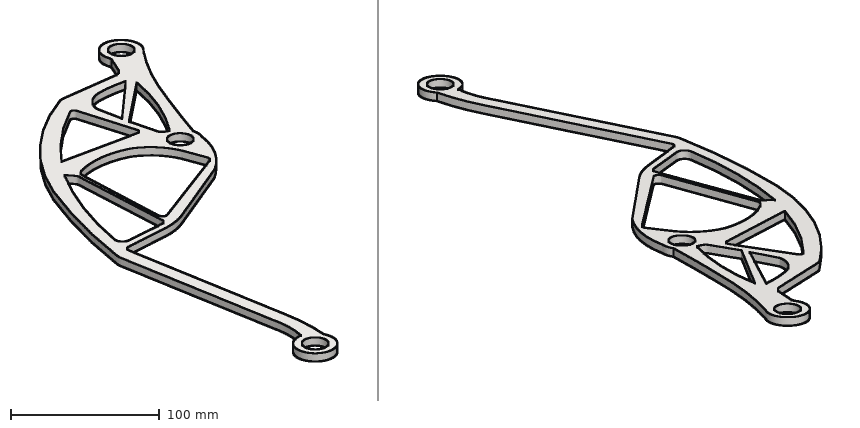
import cadquery as cq

THICKNESS = 6.3
OVERALL_LENGTH = 489.94
EYE_DIAMETER = 30.0
HOLE_DIAMETER = 18.0
EYE_SPACING = OVERALL_LENGTH - EYE_DIAMETER
PIVOT_X = 140.0

HOLE_CENTRES = [(0, 0), (PIVOT_X, 0), (EYE_SPACING, 0)]


def line(end, radius=0):
    """Straight side to a corner that is rounded by radius (0 = left sharp)."""
    return (None, end, radius)


def arc(middle, end, radius=0):
    """Curved side through middle to a corner that is rounded by radius."""
    return (middle, end, radius)


def plate(start, sides):
    """Extrude a closed loop of sides that ends at start, then round its corners."""
    loop = cq.Workplane("XY").moveTo(*start)
    for middle, end, _ in sides:
        if middle is None:
            loop = loop.lineTo(*end)
        else:
            loop = loop.threePointArc(middle, end)
    body = loop.close().extrude(THICKNESS)
    for _, (x, y), radius in sides:
        if radius > 0:
            corner = cq.selectors.NearestToPointSelector((x, y, THICKNESS / 2))
            body = body.edges("|Z").edges(corner).fillet(radius)
    return body


def discs(diameter):
    """Round discs on both eyes and the pivot."""
    return cq.Workplane("XY").pushPoints(HOLE_CENTRES).circle(diameter / 2).extrude(THICKNESS)


def link_body():
    """Solid outline: upper edge left to right, then lower edge right to left."""
    start = (3, 14.5)
    sides = [
        arc((32, 9.9), (58.6, 8.6)),
        arc((100, 10), (136, 12.3)),
        line((140, 15)),
        arc((159, 17.18), (190.5, 9)),
        line((250, -31.5)),
        arc((258.5, -38.7), (265, -47)),
        line((287.2, -82.5), 4),
        line((412, -7)),
        arc((430, 2.6), (450, 10)),
        line((EYE_SPACING, 0)),
        line((446, -5.7)),
        arc((432, -9.8), (417, -18)),
        line((298, -90), 15),
        arc((247, -99.5), (191, -104.13)),
        arc((124, -93.7), (60, -60), 10),
        line((33.4, -10.5), 8),
        line((12, -10.3)),
        line((3, -14.5)),
        line(start),
    ]
    return plate(start, sides)


def upper_left_window():
    """Window below the top edge, between the left eye and the pivot."""
    start = (50, -4)
    sides = [
        arc((91, 0.2), (126, -3.2), 1),
        line((126, -10), 5),
        line((104.5, -25.6), 1),
        line(start),
    ]
    return plate(start, sides)


def lower_left_window():
    """Rounded window under the left diagonal strut."""
    start = (46, -10.5)
    sides = [
        line((99, -28.8)),
        line((80, -41), 4),
        arc((66, -39.5), (58, -33)),
        arc((51.5, -22.5), start),
    ]
    return plate(start, sides)


def triangle_window():
    """Three-sided window above the bottom chord."""
    start = (121.5, -21.5)
    sides = [
        line((149.5, -86)),
        arc((114.7, -76), (76, -57.4), 3),
        line(start, 3),
    ]
    return plate(start, sides)


def large_window():
    """Main window right of the pivot, with a bowed left side."""
    start = (173.7, 11.7)
    sides = [
        line((249, -42.5), 3),
        line((246, -46.5), 1),
        line((171, -79.5), 5),
        line((167, -77.5), 5),
        arc((152, -59.8), (144, -36)),
        arc((147, -19), (156.3, -4.3)),
        line(start, 4),
    ]
    return plate(start, sides)


def lower_right_window():
    """Window between the thin diagonal strut and the bottom chord."""
    start = (169.5, -90.1)
    sides = [
        line((173.5, -82), 4),
        line((256.5, -44.7), 4),
        line((280.2, -83.3), 6),
        arc((225, -91.4), start),
    ]
    return plate(start, sides)


WINDOWS = [
    upper_left_window,
    lower_left_window,
    triangle_window,
    large_window,
    lower_right_window,
]

result = link_body().union(discs(EYE_DIAMETER))
for window in WINDOWS:
    result = result.cut(window())
result = result.cut(discs(HOLE_DIAMETER))